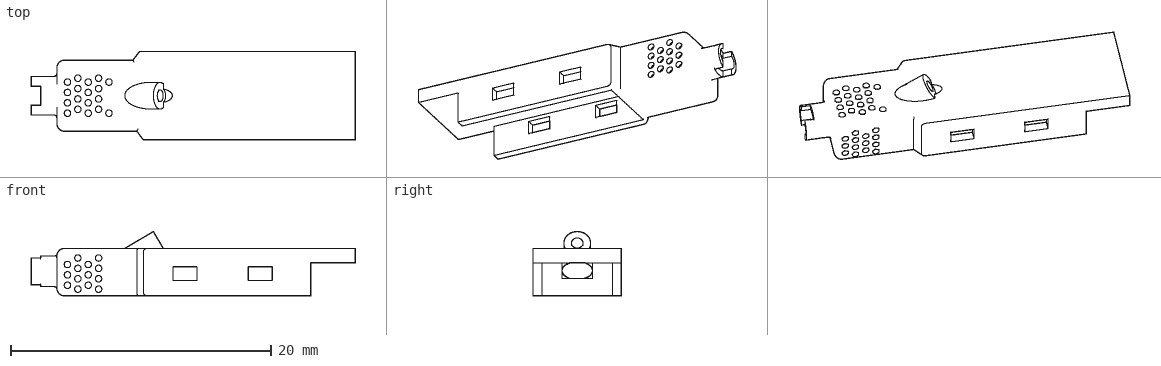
import cadquery as cq
import math

LENGTH = 24.9
HEIGHT = 3.65

HEAD_START = 1.97
HEAD_WIDTH = 5.48
BODY_WIDTH = 6.8
BODY_END = 21.5
SHOULDER_RUN = 0.5
SHOULDER_START_FRONT = 8.12
SHOULDER_START_BACK = 7.82
TONGUE_THICKNESS = 1.12
FACE_FILLET = 0.6
EDGE_FILLET = 0.27

NOZZLE_WIDTH = 3.0
NOZZLE_HEIGHT = 2.37
NOZZLE_Z = 1.9
NOZZLE_BASE_FILLET = 0.2
BORE_Z = 1.95
BORE_WIDTH = 2.35
BORE_HEIGHT = 1.4
SLOT_WIDTH = 1.45
SLOT_DEPTH = 0.72

SIDE_WALL = 0.7
CAVITY_START = SHOULDER_START_FRONT + SHOULDER_RUN
CAVITY_HEIGHT = HEIGHT - TONGUE_THICKNESS
CHANNEL_HEIGHT = 1.2
WINDOW_LENGTH = 1.82
WINDOW_HEIGHT = 1.05
WINDOW_BOTTOM = 1.2
WINDOW_STARTS = (10.9, 16.68)

TUBE_ANGLE = 30.5
TUBE_DIAMETER = 2.07
TUBE_BORE = 0.9
TUBE_RISE = 1.3
TUBE_TOP_X = 9.39
TUBE_TILT = math.radians(TUBE_ANGLE)
TUBE_END_X = TUBE_TOP_X + TUBE_DIAMETER / 2 * math.sin(TUBE_TILT)
TUBE_END_Z = HEIGHT + TUBE_RISE - TUBE_DIAMETER / 2 * math.cos(TUBE_TILT)
TUBE_LENGTH = 3.24
CHANNEL_MIDDLE = CAVITY_HEIGHT - CHANNEL_HEIGHT / 2
TUBE_BORE_LENGTH = (TUBE_END_Z - CHANNEL_MIDDLE) / math.sin(TUBE_TILT)

RELIEF_DIAMETER = 1.1
RELIEF_DROP = 0.27
RELIEF_LENGTH = 1.5

GRIP_DIAMETER = 0.5
GRIP_DEPTH = 0.5
GRIP_PITCH = 0.8
GRIP_STAGGER = 0.3
GRIP_START_X = 2.8
GRIP_ROWS = 4
SIDE_COLUMNS = 4
TOP_GRIP_Y = -1.35
SIDE_GRIP_Z = 0.52


def make_housing():
    """Narrow head, angled shoulders and wide body, with a thin tongue at the end."""
    half_head = HEAD_WIDTH / 2
    half_body = BODY_WIDTH / 2
    outline = [
        (HEAD_START, -half_head),
        (SHOULDER_START_FRONT, -half_head),
        (SHOULDER_START_FRONT + SHOULDER_RUN, -half_body),
        (LENGTH, -half_body),
        (LENGTH, half_body),
        (SHOULDER_START_BACK + SHOULDER_RUN, half_body),
        (SHOULDER_START_BACK, half_head),
        (HEAD_START, half_head),
    ]
    housing = cq.Workplane("XY").polyline(outline).close().extrude(HEIGHT)
    step = cq.Workplane("XY").box(
        LENGTH - BODY_END, BODY_WIDTH, CAVITY_HEIGHT, centered=(False, True, False)
    )
    housing = housing.cut(step.translate((BODY_END, 0, 0)))

    shoulder_end = max(SHOULDER_START_FRONT, SHOULDER_START_BACK) + SHOULDER_RUN
    head_zone = cq.selectors.BoxSelector(
        (HEAD_START + EDGE_FILLET, -BODY_WIDTH, -HEIGHT), (shoulder_end, BODY_WIDTH, 2 * HEIGHT)
    )
    housing = housing.faces("<X").edges().fillet(FACE_FILLET)
    return housing.edges(head_zone).edges("not |Z").fillet(EDGE_FILLET)


def add_nozzle(housing):
    """Add the elliptical spigot and fillet the edge where it meets the head."""
    nozzle = (
        cq.Workplane("YZ", origin=(0, 0, NOZZLE_Z))
        .ellipse(NOZZLE_WIDTH / 2, NOZZLE_HEIGHT / 2)
        .extrude(HEAD_START + FACE_FILLET)
    )
    root = cq.selectors.BoxSelector(
        (SLOT_DEPTH, -NOZZLE_WIDTH / 2, 0), (HEAD_START + FACE_FILLET, NOZZLE_WIDTH / 2, HEIGHT), True
    )
    return housing.union(nozzle).edges(root).fillet(NOZZLE_BASE_FILLET)


def inclined_cylinder(diameter, start, end, drop=0.0):
    """Cylinder parallel to the tube, its ends measured along the axis from the tube's end face.

    The axis lies below the tube's own axis by drop.
    """
    end_plane = cq.Plane(
        origin=(TUBE_END_X, 0, TUBE_END_Z),
        xDir=(math.sin(TUBE_TILT), 0, -math.cos(TUBE_TILT)),
        normal=(math.cos(TUBE_TILT), 0, math.sin(TUBE_TILT)),
    )
    base = cq.Workplane(end_plane).workplane(offset=start).center(drop, 0)
    return base.circle(diameter / 2).extrude(end - start)


def make_channel():
    """Straight channel with a flat floor and ceiling, from the nozzle bore to the cavity."""
    channel = cq.Workplane("XY").box(
        CAVITY_START - HEAD_START, BORE_WIDTH, CHANNEL_HEIGHT, centered=(False, True, False)
    )
    return channel.translate((HEAD_START, 0, CAVITY_HEIGHT - CHANNEL_HEIGHT))


def make_cavity():
    """Cavity under the wide body, open at the bottom and at the tongue end."""
    cavity = cq.Workplane("XY").box(
        BODY_END - CAVITY_START, BODY_WIDTH - 2 * SIDE_WALL, CAVITY_HEIGHT, centered=(False, True, False)
    )
    return cavity.translate((CAVITY_START, 0, 0))


def make_nozzle_bore():
    """Elliptical bore of the nozzle, reaching through the head's front wall into the channel."""
    bore = cq.Workplane("YZ").center(0, BORE_Z).ellipse(BORE_WIDTH / 2, BORE_HEIGHT / 2)
    return bore.extrude(HEAD_START)


def make_slot():
    """Vertical slot that splits the nozzle tip into two prongs."""
    return cq.Workplane("XY").box(SLOT_DEPTH, SLOT_WIDTH, HEIGHT, centered=(False, True, False))


def make_windows():
    """Rectangular windows passing through both long sides."""
    windows = cq.Workplane("XY")
    for start in WINDOW_STARTS:
        window = cq.Workplane("XY").box(
            WINDOW_LENGTH, BODY_WIDTH, WINDOW_HEIGHT, centered=(False, True, False)
        )
        windows = windows.add(window.translate((start, 0, WINDOW_BOTTOM)))
    return windows.combine()


def grip_column(column, first, rows):
    """Hole centres of one column: (x, position across the face)."""
    x = GRIP_START_X + column * GRIP_PITCH
    return [(x, first + row * GRIP_PITCH) for row in rows]


def make_grip_holes():
    """Blind staggered grip holes in the top and in both sides of the head."""
    top_points = []
    side_points = []
    for column in range(SIDE_COLUMNS):
        staggered = column % 2 == 1
        top_first = TOP_GRIP_Y + (GRIP_STAGGER if staggered else 0)
        top_points += grip_column(column, top_first, range(GRIP_ROWS))
        side_first = SIDE_GRIP_Z + (0 if staggered else GRIP_STAGGER)
        side_points += grip_column(column, side_first, range(GRIP_ROWS if staggered else GRIP_ROWS - 1))
    top_points += grip_column(SIDE_COLUMNS, TOP_GRIP_Y, (0, GRIP_ROWS - 1))

    holes = (
        cq.Workplane("XY", origin=(0, 0, HEIGHT - GRIP_DEPTH))
        .pushPoints(top_points)
        .circle(GRIP_DIAMETER / 2)
        .extrude(GRIP_DEPTH)
    )
    side_plane = cq.Workplane("XZ", origin=(0, GRIP_DEPTH - HEAD_WIDTH / 2, 0))
    side_holes = side_plane.pushPoints(side_points).circle(GRIP_DIAMETER / 2).extrude(GRIP_DEPTH)
    return holes.add(side_holes).add(side_holes.mirror("XZ")).combine()


result = add_nozzle(make_housing())
result = result.union(inclined_cylinder(TUBE_DIAMETER, -TUBE_LENGTH, 0))

result = result.cut(make_cavity()).cut(make_channel()).cut(make_nozzle_bore()).cut(make_slot())
result = result.cut(make_windows()).cut(make_grip_holes())
result = result.cut(inclined_cylinder(TUBE_BORE, -TUBE_BORE_LENGTH, 0))
result = result.cut(inclined_cylinder(RELIEF_DIAMETER, 0, RELIEF_LENGTH, RELIEF_DROP))